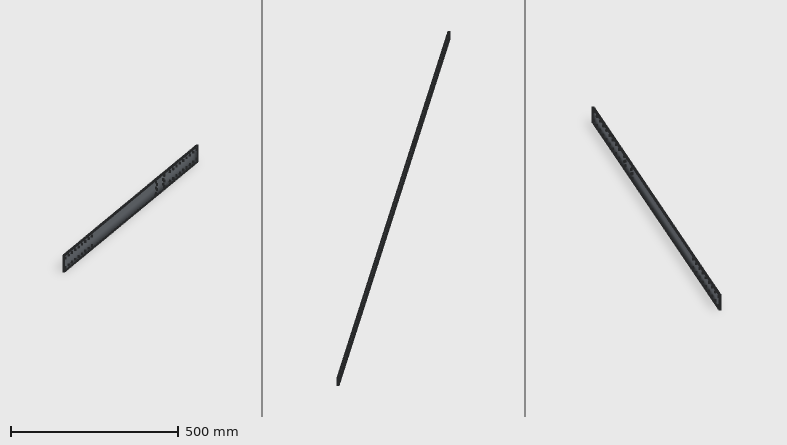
import cadquery as cq

length = 1200.0
height = 50.0
thickness = 3.81
plan_angle = -60.0

hole_diameter = 4.0
end_row_count = 9
end_row_pitch = 30.0
end_row_margin = 10.0
end_row_offset = 15.0

group_center = 337.5
outer_column_offset = 37.5
inner_column_offset = 27.5
outer_hole_offset = 17.5
inner_hole_offset = 7.5


def make_bar():
    """Bar along X, with its broad faces square to Y."""
    return cq.Workplane("XY").box(length, thickness, height)


def end_hole_points():
    """Positions of the end rows, measured from the center of the bar."""
    points = []
    for index in range(end_row_count):
        distance = length / 2 - end_row_margin - index * end_row_pitch
        for end in (-1, 1):
            for side in (-1, 1):
                points.append((end * distance, side * end_row_offset))
    return points


def group_hole_points():
    """Positions of the single hole group, measured from the center of the bar."""
    center = group_center - length / 2
    points = []
    for side in (-1, 1):
        outer_column = center + side * outer_column_offset
        inner_column = center + side * inner_column_offset
        for row in (-1, 0, 1):
            points.append((outer_column, row * outer_hole_offset))
        for row in (-1, 1):
            points.append((inner_column, row * inner_hole_offset))
    return points


def drill_holes(bar, points):
    """Drill straight through the broad faces at the given points."""
    drills = (
        cq.Workplane("XZ")
        .pushPoints(points)
        .circle(hole_diameter / 2)
        .extrude(thickness, both=True)
    )
    return bar.cut(drills)


bar = make_bar()
bar = drill_holes(bar, end_hole_points() + group_hole_points())
result = bar.rotate((0, 0, 0), (0, 0, 1), plan_angle)